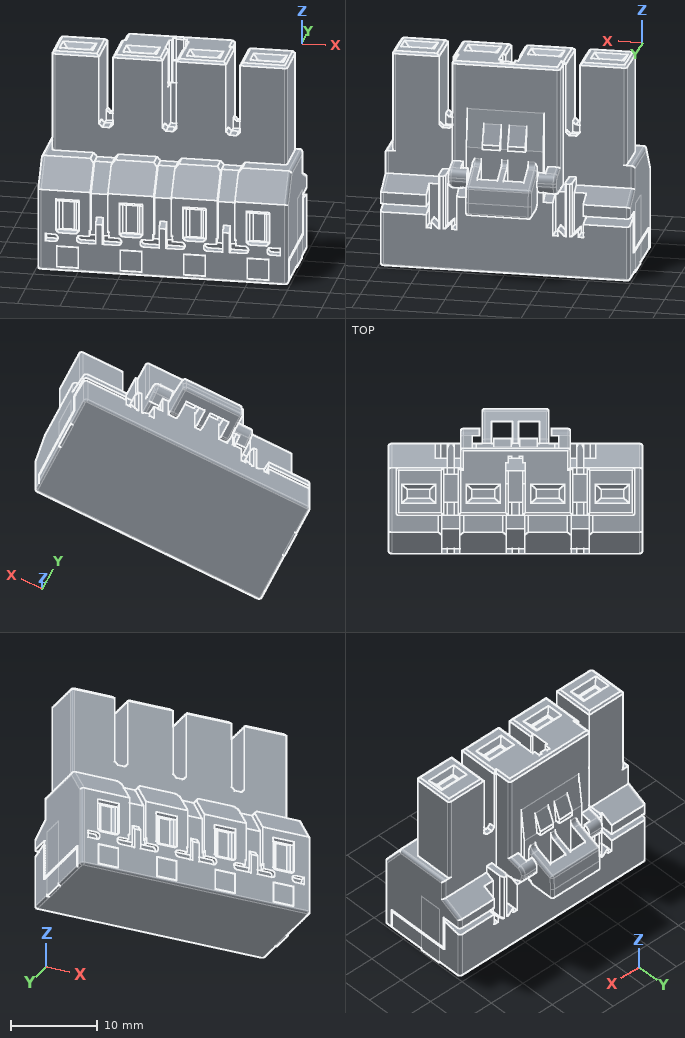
import cadquery as cq

length = 29.5
pitch = 7.5
pole_count = 4
edge_break = 0.32
end_radius = 0.38
base_radius = 0.27

body_depth = 12.8
body_height = 13.22
front_slope_z = 9.9
front_slope_depth = 2.5
shelf_y = 10.0
shelf_z = 10.45
back_slope_z = 9.03

channel_width = 2.1
channel_depth = 0.6
channel_top_z = 12.75
channel_slope_z = 9.6
channel_slope_y = 2.9
channel_flare = 0.4
channel_foot_width = 2.33
channel_foot_top = 5.13
slot_bottom_z = 3.6
slot_top_z = 4.48
slot_depth = 1.1
slot_end_radius = 0.4
slot_clearance = 1.12
channel_rib_width = 0.8
channel_rib_z = 6.0
channel_rib_rise = 0.7

window_width = 2.7
window_bottom_z = 4.7
window_top_z = 8.85
window_bevel = 0.32
window_ledge = 0.35
window_corner = 0.32
plate_size = 2.55
plate_bottom_z = 0.47
plate_depth = 0.1

total_height = 25.4
tower_length = 27.73
tower_front_y = 4.45
tower_top_chamfer = 0.3
gap_width = 1.65
gap_bottom_z = 16.43
gap_corner = 0.4
gap_well_front_y = 6.0
gap_well_back_y = 9.23
gap_well_depth = 0.88
contact_y = 6.95
funnel_length = 3.95
funnel_width = 2.2
funnel_depth = 0.65
contact_length = 2.63
contact_width = 1.0
contact_depth = 0.95

middle_wall_y = 9.65
key_width = 2.3
key_front_y = 8.15
key_back_y = 10.55
key_floor_z = 20.55
key_floor_fall = 0.5
key_cavity_back_y = 11.1
key_pocket_back_y = 11.33
key_pocket_bottom_z = 22.75
key_pocket_width = 0.38

housing_length = 12.75
housing_back_y = 12.27

plate_length = 9.1
plate_tip_z = 19.76
latch_back_y = 12.8
hook_inner_x = 0.47
hook_outer_x = 2.55
hook_bottom_z = 15.22
hook_edge_z = 15.78
hook_back_y = 13.4
hook_tip_y = 12.45
hook_tip_z = 18.15
lever_length = 7.73
lever_back_y = 16.85
lever_root_z = 13.3
lever_root_top_z = 14.15
lever_root_radius = 0.88
lever_tip_y = 16.73
lever_lean_z = 9.74
lever_tip_z = 11.6
lever_bottom_z = 8.15
lever_corner = 0.53
lever_window_inner_x = 0.35
lever_window_outer_x = 2.77
lever_window_back_y = 15.35
arm_width = 1.35
arm_tab_length = 2.2
arm_tab_front_y = 13.7
arm_back_y = 14.55
arm_top_z = 13.33
arm_shoulder_z = 12.75
arm_radius = 1.03
arm_step_z = 10.85
arm_foot_z = 10.12

recess_inner_x = 5.7
recess_outer_x = 9.3
recess_floor_y = 11.1
recess_floor_z = 5.02
recess_rib_width = 0.83
recess_rib_top_z = 11.42
recess_rib_ramp = 0.8
recess_rib_taper = 0.53
recess_rib_tip_width = 0.4
notch_top_z = 7.6
notch_inner_z = 7.23
notch_outer_z = 6.6

seam_width = 0.12
seam_depth = 0.1
seam_z = 2.65
seam_front_y = 1.1
end_pad_front_y = 6.2
end_pad_back_y = 9.3
end_pad_height = 8.47

pole_xs = [(i - (pole_count - 1) / 2) * pitch for i in range(pole_count)]
gap_xs = [(i - (pole_count - 2) / 2) * pitch for i in range(pole_count - 1)]


def box(x0, x1, y0, y1, z0, z1):
    """Box between two corners."""
    return cq.Workplane("XY").box(x1 - x0, y1 - y0, z1 - z0, centered=False).translate((x0, y0, z0))


def side_prism(points, x0, x1):
    """Prism of a (y, z) outline between two X positions."""
    return cq.Workplane("YZ").polyline(points).close().extrude(x1 - x0).translate((x0, 0, 0))


def both_sides(shape):
    """A shape together with its mirror image about the middle plane."""
    return shape.union(shape.mirror("YZ"))


def body():
    """Full-length housing with a sloping front and a stepped, sloping back."""
    outline = [
        (0, 0),
        (body_depth, 0),
        (body_depth, back_slope_z),
        (shelf_y, shelf_z),
        (shelf_y, body_height),
        (front_slope_depth, body_height),
        (0, front_slope_z),
    ]
    solid = side_prism(outline, -length / 2, length / 2)
    solid = solid.faces("<X or >X").edges("not <Z").fillet(end_radius)
    return solid.faces("<Z").edges().fillet(base_radius)


def channel(x):
    """Relief between two poles, following the front, the slope and the top."""
    half = channel_width / 2
    relief = [
        (0, slot_bottom_z),
        (channel_depth, slot_bottom_z),
        (channel_depth, channel_slope_z),
        (channel_slope_y, channel_top_z),
        (tower_front_y, channel_top_z),
        (tower_front_y, body_height),
        (0, body_height),
    ]
    cut = side_prism(relief, x - half, x + half)
    flare = (
        cq.Workplane("XZ")
        .polyline([
            (x - half, channel_top_z),
            (x + half, channel_top_z),
            (x + half + channel_flare, body_height),
            (x - half - channel_flare, body_height),
        ])
        .close()
        .extrude(-shelf_y)
    )
    foot_half = channel_foot_width / 2
    foot = box(x - foot_half, x + foot_half, 0, channel_depth, slot_top_z, channel_foot_top)
    return cut.union(flare).union(foot)


def channel_rib(x):
    """Rib standing in the middle of a channel, with a sloping top."""
    outline = [
        (0, slot_bottom_z),
        (slot_depth, slot_bottom_z),
        (slot_depth, slot_top_z),
        (channel_depth, channel_rib_z + channel_rib_rise),
        (0, channel_rib_z),
    ]
    return side_prism(outline, x - channel_rib_width / 2, x + channel_rib_width / 2)


def front_slot(x0, x1):
    """Long slot with a sloping back wall and rounded upright ends."""
    wedge = side_prism(
        [(0, slot_bottom_z), (slot_depth, slot_bottom_z), (channel_depth, slot_top_z), (0, slot_top_z)],
        x0, x1,
    )
    rounded = box(x0, x1, 0, slot_depth, slot_bottom_z, slot_top_z).edges("|Y").fillet(slot_end_radius)
    return wedge.intersect(rounded)


def window(x):
    """Wire opening: bevelled above and below, with side ledges and a throat closing in behind."""
    half = window_width / 2
    back_half = half - window_ledge - window_bevel
    low_z = window_bottom_z + window_bevel
    high_z = window_top_z - window_bevel
    mouth = side_prism(
        [(0, window_bottom_z), (window_bevel, low_z), (window_bevel, high_z), (0, window_top_z)],
        x - half, x + half,
    )
    outline = box(x - half, x + half, 0, window_bevel, window_bottom_z, window_top_z)
    mouth = mouth.intersect(outline.edges("|Y and <Z").chamfer(window_corner))
    throat = (
        cq.Workplane("XY", origin=(x, window_bevel, low_z))
        .polyline([
            (window_ledge - half, 0),
            (half - window_ledge, 0),
            (back_half, window_bevel),
            (-back_half, window_bevel),
        ])
        .close()
        .extrude(high_z - low_z)
    )
    return mouth.union(throat)


def tower_block():
    """Row of towers with the deeper central housing, split by gaps between the poles."""
    half = tower_length / 2
    rear_half = housing_length / 2
    front = box(-half, half, tower_front_y, shelf_y, shelf_z, total_height)
    front = front.edges("|Z").fillet(edge_break)
    rear = box(-rear_half, rear_half, shelf_y - edge_break, housing_back_y, shelf_z, total_height)
    rear = rear.edges("|Z and >Y").fillet(edge_break)
    block = front.union(rear)
    for x in gap_xs:
        through = housing_back_y if x else middle_wall_y
        gap = box(x - gap_width / 2, x + gap_width / 2, 0, through, gap_bottom_z, total_height)
        block = block.cut(gap.edges("|Y and <Z").chamfer(gap_corner))
    block = block.faces(">Z").chamfer(tower_top_chamfer)
    for x in gap_xs:
        well_back_y = gap_well_back_y if x else middle_wall_y
        well = box(
            x - gap_width / 2, x + gap_width / 2, gap_well_front_y, well_back_y,
            gap_bottom_z - gap_well_depth, gap_bottom_z + gap_corner,
        )
        block = block.cut(well)
    for x in pole_xs:
        block = block.cut(contact_opening(x))
    return block


def contact_opening(x):
    """Funnel mouth and shallow contact pocket in the top of a tower."""
    funnel = (
        cq.Workplane("XY", origin=(x, contact_y, total_height))
        .rect(funnel_length, funnel_width)
        .workplane(offset=-funnel_depth)
        .rect(contact_length, contact_width)
        .loft()
    )
    floor_z = total_height - contact_depth
    bore = box(
        x - contact_length / 2, x + contact_length / 2,
        contact_y - contact_width / 2, contact_y + contact_width / 2, floor_z, total_height - funnel_depth,
    )
    return funnel.union(bore)


def key_slot():
    """Keyway behind the middle gap: a wide front, a narrower cavity and two corner pockets."""
    def key_prism(back_y, width):
        outline = [
            (key_front_y, key_floor_z),
            (middle_wall_y, key_floor_z),
            (back_y, key_floor_z - key_floor_fall * (back_y - middle_wall_y)),
            (back_y, total_height),
            (key_front_y, total_height),
        ]
        return side_prism(outline, -width / 2, width / 2)

    half = gap_width / 2
    pocket = box(
        half - key_pocket_width, half, key_back_y, key_pocket_back_y, key_pocket_bottom_z, total_height
    )
    wide = key_prism(key_back_y, key_width)
    return wide.union(key_prism(key_cavity_back_y, gap_width)).union(both_sides(pocket))


def latch_plate():
    """Tapered plate on the back of the housing, carrying two hooks."""
    outline = [
        (shelf_y, back_slope_z),
        (latch_back_y, back_slope_z),
        (latch_back_y, hook_bottom_z),
        (housing_back_y, plate_tip_z),
        (shelf_y, plate_tip_z),
    ]
    plate = side_prism(outline, -plate_length / 2, plate_length / 2)
    hook = [
        (housing_back_y, hook_bottom_z),
        (hook_back_y, hook_bottom_z),
        (hook_back_y, hook_edge_z),
        (hook_tip_y, hook_tip_z),
        (housing_back_y, hook_tip_z),
    ]
    return plate.union(both_sides(side_prism(hook, hook_inner_x, hook_outer_x)))


def lever():
    """Release lever with two openings, blending into the latch plate at its root."""
    outline = [
        (housing_back_y, lever_root_top_z),
        (latch_back_y, lever_root_top_z),
        (latch_back_y, lever_root_z),
        (lever_tip_y, lever_tip_z),
        (lever_back_y, lever_lean_z),
        (lever_back_y, lever_bottom_z),
        (latch_back_y + lever_corner, lever_bottom_z),
        (latch_back_y, lever_bottom_z + lever_corner),
        (housing_back_y, lever_bottom_z + lever_corner),
    ]
    solid = side_prism(outline, -lever_length / 2, lever_length / 2)
    root = cq.selectors.NearestToPointSelector((0, latch_back_y, lever_root_z))
    solid = solid.edges("|X").edges(root).fillet(lever_root_radius)
    heel_top_z = lever_bottom_z + lever_corner - edge_break / 2
    outer = cq.selectors.BoxSelector(
        (-length, hook_back_y + edge_break, 0), (length, lever_back_y + edge_break, body_height)
    )
    heel = cq.selectors.BoxSelector((-length, latch_back_y, 0), (length, lever_back_y, heel_top_z))
    solid = solid.edges(outer + heel).fillet(edge_break)
    opening = box(
        lever_window_inner_x, lever_window_outer_x, latch_back_y, lever_window_back_y,
        lever_bottom_z, hook_bottom_z,
    )
    return solid.cut(both_sides(opening))


def latch_arm():
    """Side arm with a rounded tab that reaches inward beside the lever."""
    outer_x = housing_length / 2
    outline = [
        (shelf_y, arm_top_z),
        (housing_back_y - edge_break, arm_top_z),
        (arm_back_y, arm_shoulder_z),
        (arm_back_y, arm_step_z),
        (latch_back_y, arm_foot_z),
        (shelf_y, arm_foot_z),
    ]
    arm = side_prism(outline, outer_x - arm_tab_length, outer_x)
    arm = arm.edges("|X and >Y").fillet(arm_radius)
    arm = arm.faces(">X").edges("not <Y").fillet(edge_break)
    inner = box(
        outer_x - arm_tab_length, outer_x - arm_width, 0, arm_tab_front_y, arm_foot_z, arm_top_z
    )
    return arm.cut(inner)


def back_recess():
    """Recess beside the housing, behind the strip of sloping shelf next to the tower."""
    return box(recess_inner_x, recess_outer_x, recess_floor_y, body_depth, recess_floor_z, shelf_z)


def recess_rib():
    """Upright rib behind the outer gap, tapered at the back, with a ramp falling towards it on each side."""
    half = recess_rib_width / 2
    rib = (
        cq.Workplane("XY", origin=(pitch, 0, recess_floor_z))
        .polyline([
            (-half, shelf_y - edge_break),
            (half, shelf_y - edge_break),
            (half, body_depth - recess_rib_taper),
            (recess_rib_tip_width / 2, body_depth),
            (-recess_rib_tip_width / 2, body_depth),
            (-half, body_depth - recess_rib_taper),
        ])
        .close()
        .extrude(recess_rib_top_z - recess_floor_z)
    )
    for side in (-1, 1):
        ramp = (
            cq.Workplane("XZ", origin=(pitch, shelf_y, recess_floor_z))
            .polyline([
                (side * half, 0),
                (side * (half + recess_rib_ramp), 0),
                (side * (half + recess_rib_ramp), recess_rib_ramp),
            ])
            .close()
            .extrude(shelf_y - body_depth)
        )
        rib = rib.union(ramp)
    return rib


def end_notch():
    """Wedge notch cut into the back corner of an end face."""
    outline = [
        (shelf_y, notch_top_z),
        (body_depth, notch_top_z),
        (body_depth, notch_outer_z),
        (shelf_y, notch_inner_z),
    ]
    return side_prism(outline, recess_outer_x, length / 2)


def end_seam():
    """Shallow stepped groove across an end face."""
    x0 = length / 2 - seam_depth
    x1 = length / 2
    upright = box(x0, x1, shelf_y, shelf_y + seam_width, seam_z, notch_top_z)
    run = box(x0, x1, seam_front_y, shelf_y + seam_width, seam_z, seam_z + seam_width)
    foot = box(x0, x1, seam_front_y, seam_front_y + seam_width / 2, 0, seam_z)
    return upright.union(run).union(foot)


def end_pad():
    """Flush pad that fills the rounded bottom edge of an end face."""
    return box(length / 2 - edge_break, length / 2, end_pad_front_y, end_pad_back_y, 0, end_pad_height)


part = body()
for x in gap_xs:
    part = part.cut(channel(x))
    part = part.cut(front_slot(x - pitch / 2 + slot_clearance, x + pitch / 2 - slot_clearance))
    part = part.union(channel_rib(x))
end_slot = front_slot(pole_xs[-1] + slot_clearance, length / 2).intersect(
    box(0, tower_length / 2, 0, slot_depth, 0, body_height)
)
part = part.cut(both_sides(end_slot))
for x in pole_xs:
    part = part.cut(window(x))
    number_plate = box(
        x - plate_size / 2, x + plate_size / 2, 0, plate_depth, plate_bottom_z, plate_bottom_z + plate_size
    )
    part = part.cut(number_plate)
part = part.cut(both_sides(back_recess())).cut(both_sides(end_notch()))
part = part.union(both_sides(recess_rib()))
part = part.union(tower_block())
part = part.cut(key_slot())
part = part.union(latch_plate()).union(lever()).union(both_sides(latch_arm()))
end_pads = both_sides(end_pad())
part = part.cut(end_pads).union(end_pads, clean=False)
part = part.cut(both_sides(end_seam()), clean=False)
result = part